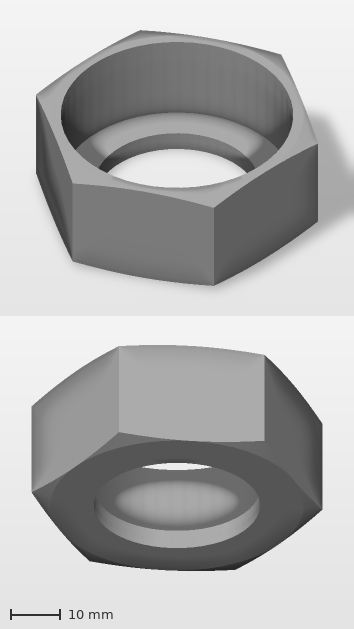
import cadquery as cq
import math

across_corners = 58.65
height = 22.2
bore_diameter = 46.6
hole_diameter = 33.3
lip_thickness = 4.05
chamfer_angle = 15.0

corner_radius = across_corners / 2
flat_radius = corner_radius * math.cos(math.radians(30))
chamfer_drop = (corner_radius - flat_radius) * math.tan(math.radians(chamfer_angle))


def hex_body():
    """Hexagonal prism standing on Z = 0 with two corners on the Y axis."""
    prism = cq.Workplane("XY").polygon(6, across_corners).extrude(height)
    return prism.rotate((0, 0, 0), (0, 0, 1), 90)


def chamfer_envelope():
    """Turned blank whose conical ends meet the end faces at the hexagon's inscribed circle."""
    return (
        cq.Workplane("XZ")
        .moveTo(0, 0)
        .lineTo(flat_radius, 0)
        .lineTo(corner_radius, chamfer_drop)
        .lineTo(corner_radius, height - chamfer_drop)
        .lineTo(flat_radius, height)
        .lineTo(0, height)
        .close()
        .revolve(360, (0, 0, 0), (0, 1, 0))
    )


def stepped_bore():
    """Through hole with a wide bore above the bottom lip."""
    hole = cq.Workplane("XY").circle(hole_diameter / 2).extrude(height)
    bore = (
        cq.Workplane("XY")
        .workplane(offset=lip_thickness)
        .circle(bore_diameter / 2)
        .extrude(height - lip_thickness)
    )
    return hole.union(bore)


result = hex_body().intersect(chamfer_envelope()).cut(stepped_bore())